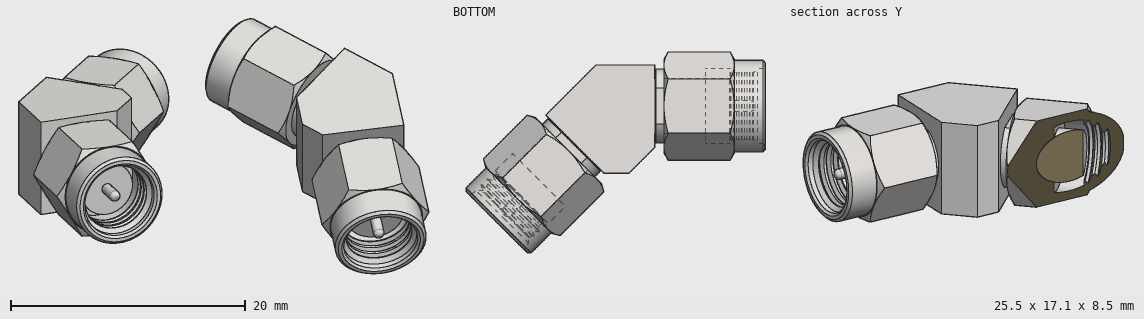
import cadquery as cq
import math


OVERALL_LENGTH = 25.5
BLOCK_WIDTH = 7.0
BLOCK_HEIGHT = 8.5
ANGLED_REACH = 4.6
STRAIGHT_ANGLE = 0
ANGLED_ANGLE = 135

NECK_LENGTH = 0.08
COLLAR_END = 0.76
COLLAR_RADIUS = 3.15
COLLAR_FLAT_SPACING = 5.53
SPIGOT_RADIUS = 2.35
PIN_RADIUS = 0.45
PIN_TIP_FILLET = 0.4

HEX_ACROSS_FLATS = 8.0
HEX_LENGTH = 6.0
HEX_CHAMFER_ANGLE = 30
SLEEVE_LENGTH = 2.65
SLEEVE_RADIUS = 3.93
SLEEVE_CHAMFER = 0.23
NUT_LENGTH = HEX_LENGTH + SLEEVE_LENGTH
NUT_FRONT = COLLAR_END + NUT_LENGTH

LEFT_REACH = -math.cos(math.radians(ANGLED_ANGLE)) * (
    ANGLED_REACH + NUT_FRONT + SLEEVE_RADIUS - SLEEVE_CHAMFER
)
STRAIGHT_REACH = OVERALL_LENGTH - LEFT_REACH - NUT_FRONT

BORE_RADIUS = 3.19
ENTRY_CHAMFER = 0.2
ENTRY_DEPTH = 0.65
THREAD_CREST_RADIUS = 2.83
THREAD_FLANK_ANGLE = 60
THREAD_PITCH = 0.7
THREAD_CREST_WIDTH = 0.23
FIRST_CREST_WIDTH = 0.08
GROOVE_COUNT = 3
LAST_CREST_WIDTH = 0.08
RELIEF_END_DEPTH = 5.1

SPIGOT_FACE_DEPTH = 3.05
PIN_TIP_DEPTH = 0.9

THREAD_DEPTH = BORE_RADIUS - THREAD_CREST_RADIUS


def polar(distance, angle):
    """Vector of the given length in the XY plane."""
    return cq.Vector(distance * math.cos(math.radians(angle)), distance * math.sin(math.radians(angle)), 0)


def rod(radius, start, end):
    """Cylinder on the local X axis."""
    return cq.Workplane("YZ").workplane(offset=start).circle(radius).extrude(end - start)


def turned(points):
    """Solid of revolution about the local X axis from (x, radius) points."""
    return cq.Workplane("XY").polyline(points).close().revolve(360, (0, 0, 0), (1, 0, 0))


def place(body, reach, angle):
    """Move a body from local coordinates onto its stub axis."""
    return body.rotate((0, 0, 0), (0, 0, 1), angle).translate(polar(reach, angle))


def make_block():
    half_width = BLOCK_WIDTH / 2
    across = polar(half_width, ANGLED_ANGLE - 90)
    face_centre = polar(ANGLED_REACH, ANGLED_ANGLE)
    angled_top = face_centre + across
    angled_bottom = face_centre - across
    corner_drop = angled_top.y - half_width
    elbow_x = angled_bottom.x + angled_bottom.y + half_width
    outline = [
        (STRAIGHT_REACH, -half_width),
        (STRAIGHT_REACH, half_width),
        (STRAIGHT_REACH - corner_drop, angled_top.y),
        (angled_top.x, angled_top.y),
        (angled_bottom.x, angled_bottom.y),
        (elbow_x, -half_width),
    ]
    return cq.Workplane("XY").polyline(outline).close().extrude(BLOCK_HEIGHT / 2, both=True)


def make_stub():
    collar = rod(COLLAR_RADIUS, NECK_LENGTH, COLLAR_END).intersect(
        cq.Workplane("XY").box(2 * COLLAR_END, 2 * COLLAR_RADIUS, COLLAR_FLAT_SPACING)
    )
    spigot = rod(SPIGOT_RADIUS, 0, NUT_FRONT - SPIGOT_FACE_DEPTH)
    pin = rod(PIN_RADIUS, 0, NUT_FRONT - PIN_TIP_DEPTH).faces(">X").edges().fillet(PIN_TIP_FILLET)
    return spigot.union(collar).union(pin)


def make_hexagon():
    """Hexagon with flats facing +Z and -Z, its corners chamfered by cones at both ends."""
    corner_radius = HEX_ACROSS_FLATS / math.sqrt(3)
    flat_radius = HEX_ACROSS_FLATS / 2
    chamfer_length = (corner_radius - flat_radius) * math.tan(math.radians(HEX_CHAMFER_ANGLE))
    hex_end = COLLAR_END + HEX_LENGTH
    envelope = turned([
        (COLLAR_END, 0),
        (COLLAR_END, flat_radius),
        (COLLAR_END + chamfer_length, corner_radius),
        (hex_end - chamfer_length, corner_radius),
        (hex_end, flat_radius),
        (hex_end, 0),
    ])
    prism = (
        cq.Workplane("YZ").workplane(offset=COLLAR_END).polygon(6, 2 * corner_radius).extrude(HEX_LENGTH)
    )
    return prism.intersect(envelope)


def make_bore():
    """Threaded bore as a solid: chamfered entry, V-shaped thread rings, rear relief."""
    flank_length = THREAD_DEPTH / math.tan(math.radians(THREAD_FLANK_ANGLE))
    groove_start = ENTRY_DEPTH + THREAD_DEPTH + FIRST_CREST_WIDTH
    groove_width = THREAD_PITCH - THREAD_CREST_WIDTH
    root_width = groove_width - 2 * flank_length
    profile = [
        (0, 0),
        (0, BORE_RADIUS + ENTRY_CHAMFER),
        (ENTRY_CHAMFER, BORE_RADIUS),
        (ENTRY_DEPTH, BORE_RADIUS),
        (ENTRY_DEPTH + THREAD_DEPTH, THREAD_CREST_RADIUS),
    ]
    for groove in range(GROOVE_COUNT):
        start = groove_start + groove * THREAD_PITCH
        profile += [
            (start, THREAD_CREST_RADIUS),
            (start + flank_length, BORE_RADIUS),
            (start + flank_length + root_width, BORE_RADIUS),
            (start + groove_width, THREAD_CREST_RADIUS),
        ]
    thread_end = groove_start + (GROOVE_COUNT - 1) * THREAD_PITCH + groove_width + LAST_CREST_WIDTH
    profile += [
        (thread_end, THREAD_CREST_RADIUS),
        (thread_end, BORE_RADIUS),
        (RELIEF_END_DEPTH, BORE_RADIUS),
        (RELIEF_END_DEPTH, 0),
    ]
    return turned([(NUT_FRONT - depth, radius) for depth, radius in profile])


def make_nut():
    sleeve = (
        rod(SLEEVE_RADIUS, COLLAR_END + HEX_LENGTH, NUT_FRONT)
        .faces(">X").edges().chamfer(SLEEVE_CHAMFER)
    )
    spigot_hole = rod(SPIGOT_RADIUS, COLLAR_END, NUT_FRONT)
    return make_hexagon().union(sleeve).cut(make_bore()).cut(spigot_hole)


stub_places = [(STRAIGHT_REACH, STRAIGHT_ANGLE), (ANGLED_REACH, ANGLED_ANGLE)]

adapter_body = make_block()
coupling_nuts = []
for reach, angle in stub_places:
    adapter_body = adapter_body.union(place(make_stub(), reach, angle))
    coupling_nuts.append(place(make_nut(), reach, angle).solids().val())

result = cq.Compound.makeCompound([adapter_body.solids().val(), *coupling_nuts])